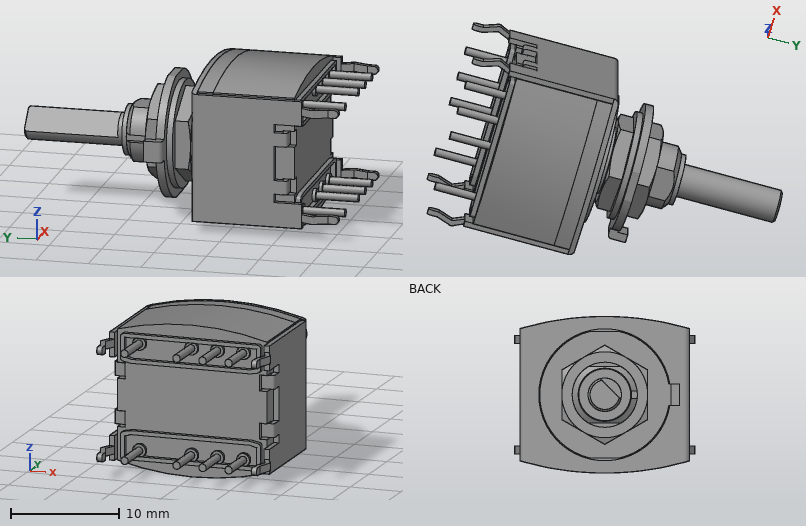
import cadquery as cq
import math


SHAFT_DIA = 3.1
SHAFT_TIP_Y = 17.5
SHAFT_TIP_CHAMFER = 0.2
FLAT_DISTANCE = 0.75
FLAT_ANGLE = 45
FLAT_END_Y = 8.55
COLLAR_DIA = 4.8
COLLAR_FRONT_Y = 7.95

THREAD_DIA = 6.02
BUSHING_FRONT_Y = 7.5
BUSHING_TIP_DIA = 4.92
BUSHING_TIP_CHAMFER = 0.47
BUSHING_FLAT_HALF_HEIGHT = 2.62
BUSHING_BASE_DIA = 6.37
FLANGE_DIA = 12.2
FLANGE_THICKNESS = 0.47
KEYWAY_WIDTH = 0.7

NUT_ACROSS_FLATS = 7.95
NUT_CHAMFER = 0.22
NUT_ACROSS_CORNERS = NUT_ACROSS_FLATS / math.cos(math.radians(30))
REAR_NUT_BACK_Y = 1.0
REAR_NUT_FRONT_Y = 2.45
TAB_WASHER_BACK_Y = 3.03
TAB_WASHER_FRONT_Y = 3.8
FRONT_NUT_FRONT_Y = 5.33
PLAIN_WASHER_DIA = 10.2
TAB_WASHER_DIA = 12.0
TAB_WASHER_FLAT_HALF_HEIGHT = 5.83
TAB_REACH = 6.9
TAB_WIDTH = 2.02
TAB_TIP_Y = 4.75
TAB_BEND_RADIUS = 0.38

SHEET = 0.5
CASE_HALF_WIDTH = 7.85
CASE_HALF_HEIGHT = 7.25
SIDE_HALF_HEIGHT = 6.1
BODY_HALF_WIDTH = CASE_HALF_WIDTH - SHEET
ARCH_RISE = CASE_HALF_HEIGHT - SIDE_HALF_HEIGHT
ARCH_RADIUS = (CASE_HALF_WIDTH ** 2 + ARCH_RISE ** 2) / (2 * ARCH_RISE)
SEAM_Y = -2.0
BASE_BACK_Y = -9.75

SIDE_END_Y = -10.53
NOTCH_Y = -7.9
NOTCH_HALF_HEIGHT = 3.75
HOOK_INNER_Z = 1.65
HOOK_OUTER_Z = 2.95
HOOK_BACK_Y = -9.17
HOOK_BEND_RADIUS = 0.22
HOOK_CLEARANCE = 0.1
HOOK_TIP_X = 6.6
LEG_WIDTH = 0.75
LEG_END_Y = -14.03
LEG_KNEE_X = 8.32
LEG_KNEE_Y = -11.63
LEG_KNEE_HALF_LENGTH = 0.28
LEG_KNEE_ROUNDING = 0.1
LEG_FOOT_Y = -13.05

PIN_DIA = 0.72
PIN_PITCH = 2.55
PIN_STEPS = (-2, 0, 1, 2)
PIN_ROW_Z = 2 * PIN_PITCH
BOSS_DIA = 1.25
BOSS_HEIGHT = 0.3
RIM_BACK_Y = -10.2
RIM_HALF_WIDTH = 6.87
RIM_TOP_Z = 6.02
RIM_BOTTOM_Z = 3.2
RIM_BEVEL_X = 5.83
RIM_BEVEL_RISE = 0.2
RIM_CORNER_RADIUS = 0.3
RIM_WALL = 0.38


def cylinder(diameter, y_start, y_end, x=0, z=0):
    """Round bar along Y."""
    plane = cq.Workplane("XZ", origin=(x, y_start, z))
    return plane.circle(diameter / 2).extrude(y_start - y_end)


def box(x_range, y_range, z_range):
    """Block given by its limits on each axis."""
    size = [high - low for low, high in (x_range, y_range, z_range)]
    corner = (x_range[0], y_range[0], z_range[0])
    return cq.Workplane("XY").box(*size, centered=False).translate(corner)


def arched_block(half_width, y_front, y_back):
    """Block along Y with straight sides, and the case arch above and below."""
    side_z = CASE_HALF_HEIGHT - ARCH_RADIUS + math.sqrt(ARCH_RADIUS ** 2 - half_width ** 2)
    return (
        cq.Workplane("XZ", origin=(0, y_front, 0))
        .moveTo(-half_width, -side_z)
        .threePointArc((0, -CASE_HALF_HEIGHT), (half_width, -side_z))
        .lineTo(half_width, side_z)
        .threePointArc((0, CASE_HALF_HEIGHT), (-half_width, side_z))
        .close()
        .extrude(y_front - y_back)
    )


def both_sides_x(shape):
    """The shape together with its mirror image across the YZ plane."""
    return shape.union(shape.mirror("YZ"))


def both_sides_z(shape):
    """The shape together with its mirror image across the XY plane."""
    return shape.union(shape.mirror("XY"))


def make_shaft():
    rod = cylinder(SHAFT_DIA, 0, SHAFT_TIP_Y).faces(">Y").chamfer(SHAFT_TIP_CHAMFER)
    d_cut = box(
        (-SHAFT_DIA, SHAFT_DIA), (FLAT_END_Y, SHAFT_TIP_Y), (FLAT_DISTANCE, SHAFT_DIA)
    ).rotate((0, 0, 0), (0, 1, 0), -FLAT_ANGLE)
    collar = cylinder(COLLAR_DIA, BUSHING_FRONT_Y, COLLAR_FRONT_Y)
    return rod.cut(d_cut).union(collar)


def make_bushing():
    tip_start_y = BUSHING_FRONT_Y - BUSHING_TIP_CHAMFER
    thread = (
        cq.Workplane("XY")
        .polyline([
            (0, 0),
            (THREAD_DIA / 2, 0),
            (THREAD_DIA / 2, tip_start_y),
            (BUSHING_TIP_DIA / 2, BUSHING_FRONT_Y),
            (0, BUSHING_FRONT_Y),
        ])
        .close()
        .revolve(360, (0, 0, 0), (0, 1, 0))
    )
    flats = box(
        (-THREAD_DIA, THREAD_DIA),
        (0, BUSHING_FRONT_Y),
        (-BUSHING_FLAT_HALF_HEIGHT, BUSHING_FLAT_HALF_HEIGHT),
    )
    keyway = box(
        (-BUSHING_BASE_DIA, -BUSHING_TIP_DIA / 2),
        (FLANGE_THICKNESS, BUSHING_FRONT_Y),
        (-KEYWAY_WIDTH / 2, KEYWAY_WIDTH / 2),
    )
    return (
        thread.intersect(flats)
        .union(cylinder(BUSHING_BASE_DIA, 0, REAR_NUT_BACK_Y))
        .cut(keyway)
        .union(cylinder(FLANGE_DIA, 0, FLANGE_THICKNESS))
        .cut(cylinder(SHAFT_DIA, 0, BUSHING_FRONT_Y))
    )


def make_nut(y_plain, y_chamfered):
    """Hex nut with corners up and down, chamfered on one face only."""
    toward = math.copysign(1, y_chamfered - y_plain)
    chamfer_start_y = y_chamfered - toward * NUT_CHAMFER
    corner_limit = (
        cq.Workplane("XY")
        .polyline([
            (0, y_plain),
            (NUT_ACROSS_CORNERS / 2, y_plain),
            (NUT_ACROSS_CORNERS / 2, chamfer_start_y),
            (NUT_ACROSS_FLATS / 2, y_chamfered),
            (0, y_chamfered),
        ])
        .close()
        .revolve(360, (0, 0, 0), (0, 1, 0))
    )
    hexagon = (
        cq.Workplane("XZ", origin=(0, y_plain, 0))
        .polygon(6, NUT_ACROSS_CORNERS)
        .extrude(y_plain - y_chamfered)
        .rotate((0, 0, 0), (0, 1, 0), 30)
    )
    return hexagon.intersect(corner_limit).cut(cylinder(THREAD_DIA, y_plain, y_chamfered))


def make_plain_washer():
    ring = cylinder(PLAIN_WASHER_DIA, REAR_NUT_FRONT_Y, TAB_WASHER_BACK_Y)
    return ring.cut(cylinder(THREAD_DIA, REAR_NUT_FRONT_Y, TAB_WASHER_BACK_Y))


def make_tab_washer():
    y_range = (TAB_WASHER_BACK_Y, TAB_WASHER_FRONT_Y)
    thickness = TAB_WASHER_FRONT_Y - TAB_WASHER_BACK_Y
    disc = cylinder(TAB_WASHER_DIA, *y_range).intersect(box(
        (-TAB_WASHER_DIA, TAB_WASHER_DIA),
        y_range,
        (-TAB_WASHER_FLAT_HALF_HEIGHT, TAB_WASHER_FLAT_HALF_HEIGHT),
    ))
    z_range = (-TAB_WIDTH / 2, TAB_WIDTH / 2)
    tab = (
        box((-TAB_REACH, 0), y_range, z_range)
        .union(box((-TAB_REACH, thickness - TAB_REACH), (TAB_WASHER_BACK_Y, TAB_TIP_Y), z_range))
        .edges("<X and <Y")
        .fillet(TAB_BEND_RADIUS)
    )
    return disc.union(tab).cut(cylinder(THREAD_DIA, *y_range))


def make_hook():
    """Upper right hold-down tab: runs back from the notch and folds into the base."""
    z_range = (HOOK_INNER_Z, HOOK_OUTER_Z)
    strip = box((BODY_HALF_WIDTH, CASE_HALF_WIDTH), (HOOK_BACK_Y, NOTCH_Y), z_range)
    fold = box((HOOK_TIP_X, CASE_HALF_WIDTH), (HOOK_BACK_Y, HOOK_BACK_Y + SHEET), z_range)
    return strip.union(fold).edges(">X and <Y").fillet(HOOK_BEND_RADIUS)


def make_leg():
    """Upper right mounting leg: a strip with an outward knee and a rounded tip."""
    knee_side_x = LEG_KNEE_X - LEG_KNEE_ROUNDING
    tip_center_y = LEG_END_Y + LEG_WIDTH / 2
    leg = (
        cq.Workplane("XY", origin=(0, 0, PIN_ROW_Z - LEG_WIDTH / 2))
        .moveTo(CASE_HALF_WIDTH, SIDE_END_Y)
        .lineTo(knee_side_x, LEG_KNEE_Y + LEG_KNEE_HALF_LENGTH)
        .threePointArc((LEG_KNEE_X, LEG_KNEE_Y), (knee_side_x, LEG_KNEE_Y - LEG_KNEE_HALF_LENGTH))
        .lineTo(CASE_HALF_WIDTH, LEG_FOOT_Y)
        .lineTo(CASE_HALF_WIDTH, tip_center_y)
        .lineTo(BODY_HALF_WIDTH, tip_center_y)
        .lineTo(BODY_HALF_WIDTH, LEG_FOOT_Y)
        .lineTo(LEG_KNEE_X - SHEET, LEG_KNEE_Y)
        .lineTo(BODY_HALF_WIDTH, SIDE_END_Y)
        .close()
        .extrude(LEG_WIDTH)
    )
    tip = (
        cq.Workplane("YZ", origin=(BODY_HALF_WIDTH, tip_center_y, PIN_ROW_Z))
        .circle(LEG_WIDTH / 2)
        .extrude(SHEET)
    )
    return leg.union(tip)


def make_bend_waste():
    """Corner left outside the rounded bend between front and right side plate."""
    z_range = (-CASE_HALF_HEIGHT, CASE_HALF_HEIGHT)
    corner = box((BODY_HALF_WIDTH, CASE_HALF_WIDTH), (-SHEET, 0), z_range)
    bend = (
        cq.Workplane("XY", origin=(BODY_HALF_WIDTH, -SHEET, -CASE_HALF_HEIGHT))
        .circle(SHEET)
        .extrude(2 * CASE_HALF_HEIGHT)
    )
    return corner.cut(bend)


def make_bracket():
    """Arched front plate with a notched side plate, hooks and legs on each side."""
    front = arched_block(CASE_HALF_WIDTH, 0, -SHEET)
    side = box(
        (BODY_HALF_WIDTH, CASE_HALF_WIDTH),
        (SIDE_END_Y, 0),
        (-SIDE_HALF_HEIGHT, SIDE_HALF_HEIGHT),
    )
    notch = box(
        (BODY_HALF_WIDTH, CASE_HALF_WIDTH),
        (SIDE_END_Y, NOTCH_Y),
        (-NOTCH_HALF_HEIGHT, NOTCH_HALF_HEIGHT),
    )
    rear_details = both_sides_z(make_hook().union(make_leg()))
    bends = both_sides_x(make_bend_waste())
    side = side.cut(notch).union(rear_details)
    return front.union(both_sides_x(side)).cut(bends)


def make_detent_housing():
    return arched_block(BODY_HALF_WIDTH, -SHEET, SEAM_Y)


def rim_outline(inset, y_start, y_end):
    """Prism of the upper terminal rim, its sides moved inward by the inset."""
    right = RIM_HALF_WIDTH - inset
    bevel_z = RIM_BOTTOM_Z + RIM_BEVEL_RISE + inset
    return (
        cq.Workplane("XZ", origin=(0, y_start, 0))
        .polyline([
            (-right, RIM_TOP_Z - inset),
            (right, RIM_TOP_Z - inset),
            (right, bevel_z),
            (RIM_BEVEL_X, RIM_BOTTOM_Z + inset),
            (-RIM_BEVEL_X, RIM_BOTTOM_Z + inset),
            (-right, bevel_z),
        ])
        .close()
        .extrude(y_start - y_end)
    )


def make_terminal(x):
    """Terminal pin of the upper row with the low boss around its root."""
    boss = cylinder(BOSS_DIA, BASE_BACK_Y, BASE_BACK_Y - BOSS_HEIGHT, x, PIN_ROW_Z)
    pin = cylinder(PIN_DIA, BASE_BACK_Y, LEG_END_Y, x, PIN_ROW_Z)
    return boss.union(pin)


def make_base():
    """Rear body: two rimmed pockets, each with a row of bossed pins."""
    rim = rim_outline(0, BASE_BACK_Y, RIM_BACK_Y).edges("|Y and (<X or >X)").fillet(RIM_CORNER_RADIUS)
    pocket = rim_outline(RIM_WALL, BASE_BACK_Y, RIM_BACK_Y)
    block = arched_block(BODY_HALF_WIDTH, SEAM_Y, BASE_BACK_Y)
    base = block.union(both_sides_z(rim)).cut(both_sides_z(pocket))
    for step in PIN_STEPS:
        base = base.union(both_sides_z(make_terminal(step * PIN_PITCH)))
    hook_slot = box(
        (HOOK_TIP_X, BODY_HALF_WIDTH),
        (BASE_BACK_Y, HOOK_BACK_Y + SHEET),
        (HOOK_INNER_Z - HOOK_CLEARANCE, HOOK_OUTER_Z + HOOK_CLEARANCE),
    )
    return base.cut(both_sides_x(both_sides_z(hook_slot)))


shaft = make_shaft()
bushing = make_bushing()
rear_nut = make_nut(REAR_NUT_FRONT_Y, REAR_NUT_BACK_Y)
front_nut = make_nut(TAB_WASHER_FRONT_Y, FRONT_NUT_FRONT_Y)
plain_washer = make_plain_washer()
tab_washer = make_tab_washer()
bracket = make_bracket()
detent_housing = make_detent_housing()
base = make_base()

result = cq.Compound.makeCompound([
    shaft.val(),
    bushing.val(),
    rear_nut.val(),
    front_nut.val(),
    plain_washer.val(),
    tab_washer.val(),
    bracket.val(),
    detent_housing.val(),
    base.val(),
])